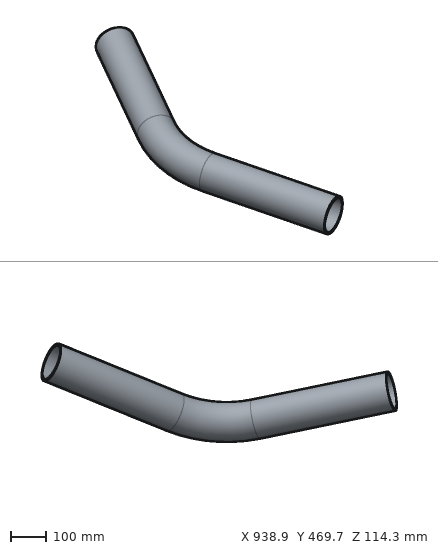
import cadquery as cq
import math

outer_diameter = 114.3
wall_thickness = 6.02
leg_length = 400.0
bend_radius = 305.0
bend_angle = 45.0

outer_radius = outer_diameter / 2
inner_radius = outer_radius - wall_thickness


def bend_point(angle_degrees):
    """Centreline point reached after turning through the given angle."""
    angle = math.radians(angle_degrees)
    return (
        leg_length + bend_radius * math.sin(angle),
        bend_radius * (1 - math.cos(angle)),
    )


def centreline():
    """Straight leg along +X, circular bend, then the inclined straight leg."""
    bend_end = bend_point(bend_angle)
    end_direction = math.radians(bend_angle)
    pipe_end = (
        bend_end[0] + leg_length * math.cos(end_direction),
        bend_end[1] + leg_length * math.sin(end_direction),
    )
    return (
        cq.Workplane("XY")
        .moveTo(0, 0)
        .lineTo(leg_length, 0)
        .threePointArc(bend_point(bend_angle / 2), bend_end)
        .lineTo(*pipe_end)
    )


def bent_pipe():
    """Ring section, square to the first leg, swept along the centreline."""
    section = cq.Workplane("YZ").circle(outer_radius).circle(inner_radius)
    return section.sweep(centreline())


result = bent_pipe()